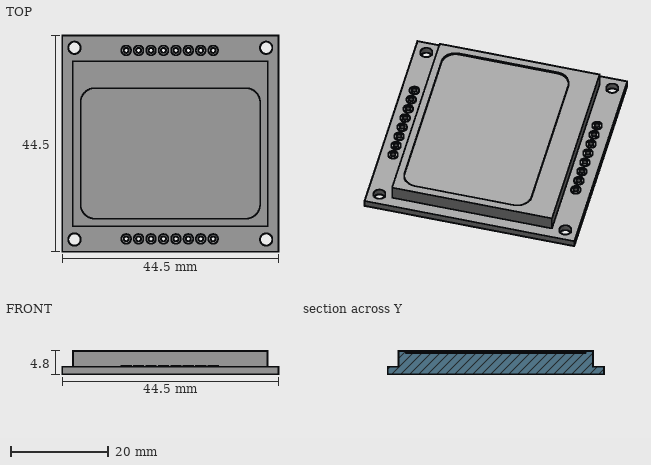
import cadquery as cq

board_side = 44.45
board_thickness = 1.6
mount_hole_diameter = 2.5
mount_hole_offset = 19.7

total_height = 4.8
display_length = 40.0
display_width = 33.85
display_height = total_height - board_thickness

window_length = 36.9
window_width = 26.85
window_center_y = -2.0
window_corner_radius = 3.0
window_depth = 0.4

pads_per_row = 8
pad_row_span = 17.85
pad_pitch = pad_row_span / (pads_per_row - 1)
pad_diameter = 2.0
pad_height = 0.2
pad_hole_diameter = 1.0
pad_row_center_x = -0.15
back_row_y = 19.15
front_row_y = -19.55


def pad_centers():
    """Centres of all pads in both rows."""
    first_x = pad_row_center_x - pad_row_span / 2
    return [
        (first_x + index * pad_pitch, row_y)
        for row_y in (front_row_y, back_row_y)
        for index in range(pads_per_row)
    ]


def make_board():
    """Square board with a mounting hole at each corner."""
    board = cq.Workplane("XY").box(board_side, board_side, board_thickness, centered=(True, True, False))
    hole_spacing = 2 * mount_hole_offset
    return (
        board.faces(">Z").workplane()
        .rect(hole_spacing, hole_spacing, forConstruction=True)
        .vertices()
        .hole(mount_hole_diameter)
    )


def make_display():
    """Display block with a shallow rounded window in its top."""
    block = (
        cq.Workplane("XY", origin=(0, 0, board_thickness))
        .box(display_length, display_width, display_height, centered=(True, True, False))
    )
    window = (
        cq.Workplane("XY", origin=(0, window_center_y, total_height - window_depth))
        .box(window_length, window_width, window_depth, centered=(True, True, False))
        .edges("|Z")
        .fillet(window_corner_radius)
    )
    return block.cut(window)


def make_pad_cylinders(diameter, bottom, top):
    """One upright cylinder at every pad position."""
    return (
        cq.Workplane("XY", origin=(0, 0, bottom))
        .pushPoints(pad_centers())
        .circle(diameter / 2)
        .extrude(top - bottom)
    )


pad_top = board_thickness + pad_height
pads = make_pad_cylinders(pad_diameter, board_thickness, pad_top)
pad_holes = make_pad_cylinders(pad_hole_diameter, 0, pad_top)

result = make_board().union(make_display()).union(pads).cut(pad_holes)